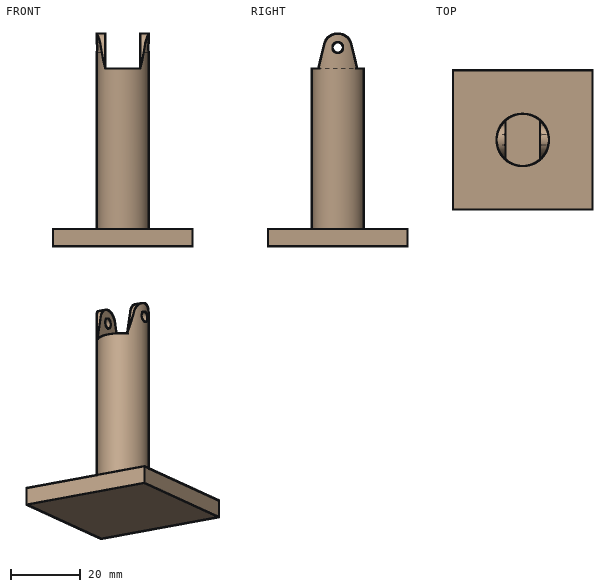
import cadquery as cq
import math

plate_side = 40.0
plate_thickness = 5.0
total_height = 61
column_radius = 7.5

slot_width = 10.0
slot_depth = 10.0
ear_radius = 4.0
pin_hole_diameter = 3.0

seat_z = total_height - slot_depth
pin_z = total_height - ear_radius
ear_foot = math.sqrt(column_radius**2 - (slot_width / 2) ** 2)


def fork_side_profile():
    """Column outline in the YZ plane: square shoulders, then flanks tangent to the rounded ear tip."""
    drop = pin_z - seat_z
    foot_distance = math.hypot(ear_foot, drop)
    tangent_angle = math.acos(ear_radius / foot_distance) - math.atan2(drop, ear_foot)
    tangent_y = ear_radius * math.cos(tangent_angle)
    tangent_z = pin_z + ear_radius * math.sin(tangent_angle)
    return (
        cq.Workplane("YZ")
        .moveTo(-plate_side / 2, 0)
        .lineTo(plate_side / 2, 0)
        .lineTo(plate_side / 2, seat_z)
        .lineTo(ear_foot, seat_z)
        .lineTo(tangent_y, tangent_z)
        .threePointArc((0, total_height), (-tangent_y, tangent_z))
        .lineTo(-ear_foot, seat_z)
        .lineTo(-plate_side / 2, seat_z)
        .close()
    )


plate = cq.Workplane("XY").box(plate_side, plate_side, plate_thickness, centered=(True, True, False))

column = cq.Workplane("XY").circle(column_radius).extrude(total_height)
column = column.intersect(fork_side_profile().extrude(plate_side / 2, both=True))

slot = (
    cq.Workplane("XY")
    .workplane(offset=seat_z)
    .rect(slot_width, plate_side)
    .extrude(slot_depth)
)

pin_hole = (
    cq.Workplane("YZ")
    .center(0, pin_z)
    .circle(pin_hole_diameter / 2)
    .extrude(plate_side / 2, both=True)
)

result = plate.union(column.cut(slot).cut(pin_hole))